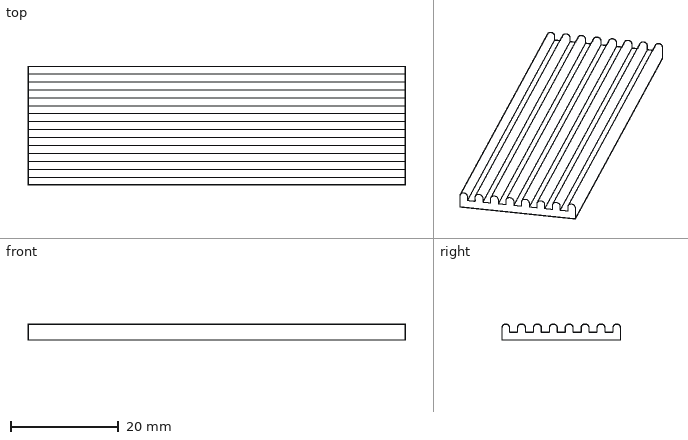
import cadquery as cq
import math

LENGTH = 70.0
WIDTH = 22.0
HEIGHT = 3.0

GROOVE_COUNT = 7
GROOVE_PITCH = 2.95
GROOVE_WIDTH = 1.45
GROOVE_DEPTH = 1.5
GROOVE_FLOOR_Z = HEIGHT - GROOVE_DEPTH

CREST_RADIUS = 0.7


def add_rib(profile, near_y, far_y):
    """Extend the profile up one side of a rib, over its rounded crest and down to the groove floor."""
    round_start_z = HEIGHT - CREST_RADIUS
    arc_mid_inset = CREST_RADIUS * (1 - math.sin(math.radians(45)))
    arc_mid_z = HEIGHT - arc_mid_inset
    return (
        profile.lineTo(near_y, round_start_z)
        .threePointArc((near_y + arc_mid_inset, arc_mid_z), (near_y + CREST_RADIUS, HEIGHT))
        .lineTo(far_y - CREST_RADIUS, HEIGHT)
        .threePointArc((far_y - arc_mid_inset, arc_mid_z), (far_y, round_start_z))
        .lineTo(far_y, GROOVE_FLOOR_Z)
    )


def make_profile():
    """Closed cross-section of the plate and its ribs, at the plate's -X end."""
    half_width = WIDTH / 2
    first_groove_y = -GROOVE_PITCH * (GROOVE_COUNT - 1) / 2
    profile = cq.Workplane("YZ", origin=(-LENGTH / 2, 0, 0)).moveTo(-half_width, 0)
    rib_near_y = -half_width
    for groove_index in range(GROOVE_COUNT):
        groove_near_y = first_groove_y + groove_index * GROOVE_PITCH - GROOVE_WIDTH / 2
        groove_far_y = groove_near_y + GROOVE_WIDTH
        profile = add_rib(profile, rib_near_y, groove_near_y).lineTo(groove_far_y, GROOVE_FLOOR_Z)
        rib_near_y = groove_far_y
    profile = add_rib(profile, rib_near_y, half_width)
    return profile.lineTo(half_width, 0).close()


result = make_profile().extrude(LENGTH)